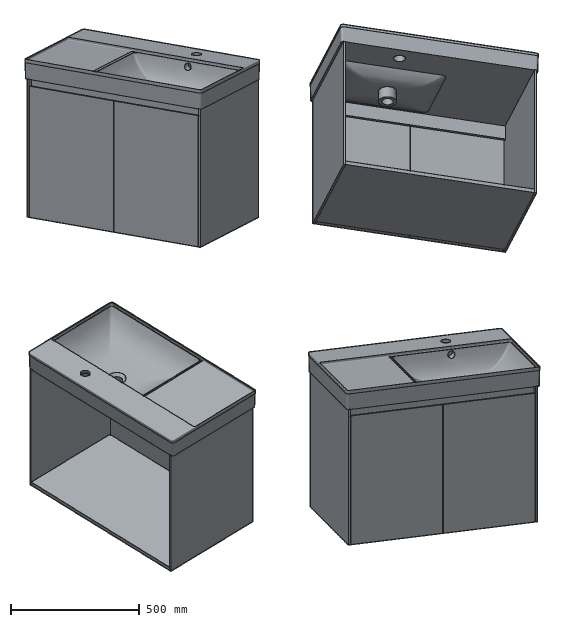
import cadquery as cq
import math


total_width = 800.0
total_depth = 460.0
total_height = 645.0

basin_height = 79.0
basin_bottom = total_height - basin_height
corner_radius = 11.0
rim_height = 12.5
rim_rounding = 1.5
rim_step = 1.0
rim_step_height = 3.0
skirt_draft = 1.5

recess_depth = 12.0
rim_width = 4.5
tap_deck_depth = 124.0
recess_corner = 6.0
recess_fillet = 3.5
shelf_height = total_height - recess_depth

bowl_center_x = 547.0
bowl_left = 301.0
bowl_ledge = 1.5
bowl_right = total_width - rim_width - bowl_ledge
bowl_back = -tap_deck_depth - bowl_ledge
bowl_front = -total_depth + rim_width + bowl_ledge
bowl_floor_height = total_height - 118.0
floor_width = 152.0
floor_back = -198.0
floor_front = -273.0
bowl_wall = 8.0
bowl_corner = 12.0
floor_corner = 0.5
bowl_levels = 6
bowl_arc = math.radians(70)
lip_width = 9.0
lip_drop = 3.0

drain_y = (floor_back + floor_front) / 2
drain_diameter = 46.0
drain_cone_diameter = 74.0
drain_cone_depth = 10.0
drain_collar_height = 55.0
drain_collar_diameter = 70.0
tap_y = -63.0
tap_diameter = 38.0
tap_land = 15.0
tap_relief_diameter = 46.0
overflow_diameter = 28.0
overflow_center_height = total_height - 33.0
overflow_depth = 25.0

cabinet_width = 780.0
cabinet_depth = 450.0
cabinet_left = (total_width - cabinet_width) / 2
side_thickness = 8.0
floor_thickness = 16.0
door_thickness = 18.0
door_gap = 3.0
door_top = 536.0
door_land = 6.0
door_bevel_drop = 20.0
rail_height = 60.0
rail_thickness = 10.0
rail_gap = 3.0
rail_top = basin_bottom - rail_gap
inner_left = cabinet_left + side_thickness
inner_width = cabinet_width - 2 * side_thickness
door_count = 2
door_width = (inner_width - (door_count + 1) * door_gap) / door_count
rail_front = -cabinet_depth + door_thickness


def box(x, y, z, width, depth, height):
    """Box from its left, front, bottom corner."""
    return cq.Workplane("XY").box(width, depth, height, centered=False).translate((x, y, z))


def rounded_outline(left, right, front, back, radius, height):
    """Closed wire of a rectangle with rounded corners at the given height."""
    outline = cq.Sketch().rect(right - left, back - front).vertices().fillet(radius)
    center = cq.Location(cq.Vector((left + right) / 2, (front + back) / 2, height))
    return outline.reset().faces().val().outerWire().moved(center)


def basin_outline(inset, height):
    """Rounded rectangle of the basin outline, moved inwards by the inset."""
    radius = corner_radius - inset
    return rounded_outline(inset, total_width - inset, inset - total_depth, -inset, radius, height)


def basin_blank():
    """Upright rim, a small step under it, then a skirt that tapers to the bottom."""
    rim_bottom = total_height - rim_height
    skirt_top = rim_bottom - rim_step_height
    bottom_inset = rim_step + (skirt_top - basin_bottom) * math.tan(math.radians(skirt_draft))
    levels = [
        basin_outline(0, total_height),
        basin_outline(0, rim_bottom),
        basin_outline(rim_step, skirt_top),
        basin_outline(bottom_inset, basin_bottom),
    ]
    blank = cq.Workplane(cq.Solid.makeLoft(levels, True))
    return blank.faces(">Z").edges().fillet(rim_rounding)


def shelf_recess():
    """Shallow tray that holds the shelf and opens into the bowl."""
    length = total_depth - tap_deck_depth - rim_width
    width = total_width - 2 * rim_width
    return (
        box(rim_width, -total_depth + rim_width, shelf_height, width, length, recess_depth)
        .edges("|Z")
        .fillet(recess_corner)
        .faces("<Z")
        .edges()
        .fillet(recess_fillet)
    )


def bowl_level(spread, height, wall):
    """Outline of the bowl; spread 0 is the floor and spread 1 the opening."""

    def between(floor, opening):
        return floor + (opening - floor) * spread

    left = between(bowl_center_x - floor_width / 2, bowl_left) - wall
    right = between(bowl_center_x + floor_width / 2, bowl_right) + wall
    back = between(floor_back, bowl_back) + wall
    front = between(floor_front, bowl_front) - wall
    radius = between(floor_corner, bowl_corner) + wall
    return rounded_outline(left, right, front, back, radius, height)


def bowl_shape(wall):
    """Loft whose four walls rise from the floor along part of an ellipse."""
    depth = shelf_height - bowl_floor_height
    levels = []
    for step in range(bowl_levels + 1):
        angle = bowl_arc * step / bowl_levels
        rise = depth * (1 - math.cos(angle)) / (1 - math.cos(bowl_arc))
        spread = math.sin(angle) / math.sin(bowl_arc)
        levels.append(bowl_level(spread, bowl_floor_height + rise - wall, wall))
    return cq.Workplane(cq.Solid.makeLoft(levels, False))


def bowl_lip():
    """Sloping edge that leads from the shelf into the bowl."""
    return (
        cq.Workplane("XZ", origin=(bowl_left, bowl_back, shelf_height))
        .moveTo(-lip_width, 0)
        .lineTo(0, -lip_drop)
        .lineTo(bowl_corner, -lip_drop)
        .lineTo(bowl_corner, 0)
        .close()
        .extrude(bowl_back - bowl_front)
    )


def cylinder(x, y, bottom, top, diameter):
    """Upright cylinder between two heights."""
    return cq.Workplane("XY", origin=(x, y, bottom)).circle(diameter / 2).extrude(top - bottom)


def drain():
    """Conical seat and the bore below it."""
    seat = (
        cq.Workplane("XY", origin=(bowl_center_x, drain_y, bowl_floor_height))
        .circle(drain_cone_diameter / 2)
        .workplane(offset=-drain_cone_depth)
        .circle(drain_diameter / 2)
        .loft()
    )
    bore_bottom = bowl_floor_height - drain_collar_height
    return seat.union(cylinder(bowl_center_x, drain_y, bore_bottom, bowl_floor_height, drain_diameter))


def make_basin():
    """Basin with its hanging bowl, shelf, drain, tap hole and overflow."""
    collar_bottom = bowl_floor_height - drain_collar_height
    collar = cylinder(bowl_center_x, drain_y, collar_bottom, bowl_floor_height, drain_collar_diameter)
    below_skirt = box(0, -total_depth, 0, total_width, total_depth, basin_bottom)
    bowl_shell = bowl_shape(bowl_wall).intersect(below_skirt)
    basin = basin_blank().union(bowl_shell).union(collar)
    basin = basin.cut(shelf_recess()).cut(bowl_shape(0)).cut(bowl_lip()).cut(drain())
    land_bottom = total_height - tap_land
    basin = basin.cut(cylinder(bowl_center_x, tap_y, land_bottom, total_height, tap_diameter))
    basin = basin.cut(cylinder(bowl_center_x, tap_y, basin_bottom, land_bottom, tap_relief_diameter))
    overflow = (
        cq.Workplane("XZ", origin=(bowl_center_x, bowl_back + overflow_depth, overflow_center_height))
        .circle(overflow_diameter / 2)
        .extrude(2 * overflow_depth)
    )
    return basin.cut(overflow)


def make_side(x):
    """Upright side panel from the floor to the underside of the basin."""
    return box(x, -cabinet_depth, 0, side_thickness, cabinet_depth, basin_bottom)


def make_door(x):
    """Door panel whose top edge slopes down to the back as a finger pull."""
    return (
        cq.Workplane("YZ", origin=(x, -cabinet_depth, 0))
        .lineTo(door_thickness, 0)
        .lineTo(door_thickness, door_top - door_bevel_drop)
        .lineTo(door_land, door_top)
        .lineTo(0, door_top)
        .close()
        .extrude(door_width)
    )


basin = make_basin()
sides = [make_side(x) for x in (cabinet_left, inner_left + inner_width)]
doors = [make_door(inner_left + door_gap + i * (door_width + door_gap)) for i in range(door_count)]
rail = box(inner_left, rail_front, rail_top - rail_height, inner_width, rail_thickness, rail_height)
floor_board = box(inner_left, rail_front, 0, inner_width, -rail_front, floor_thickness)

result = cq.Compound.makeCompound(
    [basin.val(), *[s.val() for s in sides], *[d.val() for d in doors], rail.val(), floor_board.val()]
)